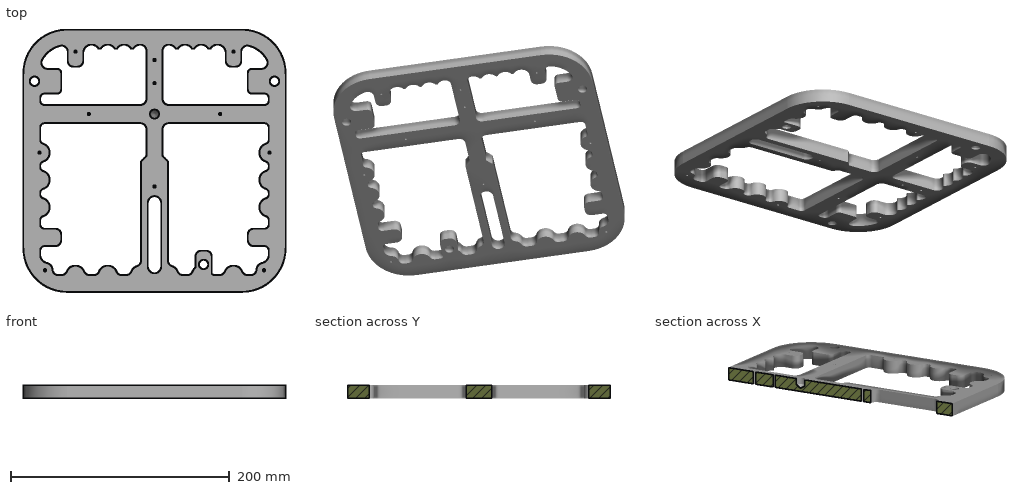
import cadquery as cq
import math

side = 240.0
thickness = 12.0
corner_radius = 40.0
half = side / 2
rim = 15.5
wall = half - rim

spine_half = 7.5
spine_wide_half = 12.5
spine_step_y = 4.3
bar_y = 42.7
bar_half = 8.5
bar_top = bar_y + bar_half
bar_bottom = bar_y - bar_half

corner_round = 5.5
small_round = 3.8

tab_tip_x = 85.2
upper_tab_y = 72.7
upper_tab_width = 22.8
lower_tab_y = -70.0
lower_tab_width = 16.0
top_tab_x = 72.2
top_tab_width = 14.5
top_tab_tip_y = 86.0
foot_tab_x = 45.0
foot_tab_width = 15.0
foot_tab_tip_y = -82.0

bay_reach = 105.8
bay_radius = bay_reach - (half - corner_radius)

scallop_radius = 7.5
scallop_pitch = 15.0
scallop_count = 4
scallop_top_y = 106.0
scallop_tip_radius = 1.7

knuckle_radius = 8.6
side_knuckle_y = 7.5
side_knuckle_pitch = 25.0
side_knuckle_count = 3
foot_knuckle_x = 72.2
foot_knuckle_pitch = 29.5
foot_knuckle_count = 3
foot_root_round = 5.0
boss_xy = 100.0
boss_radius = 7.0
boss_root_round = 7.5

pin_diameter = 2.0
top_pin_y = 99.8
bar_pin_x = 60.0
side_pin_x = 105.0
spine_pin_ys = (92.2, 71.0, -23.5)
bolt_diameter = 8.5
bolt_x = 109.7
foot_bolt_y = -94.8
slot_width = 12.0
slot_top_y = -32.5
slot_bottom_y = -102.7
socket_depth = 6.0
drill_tip_angle = 118.0


def block(x_min, x_max, y_min, y_max):
    """Plate-thick rectangular block."""
    return cq.Workplane("XY").box(
        x_max - x_min, y_max - y_min, thickness, centered=False
    ).translate((x_min, y_min, 0))


def disc(x, y, radius):
    """Plate-thick round block."""
    return cq.Workplane("XY").center(x, y).circle(radius).extrude(thickness)


def round_corners(body, corners, radius):
    """Round the vertical edges that lie closest to the given corners."""
    for x, y in corners:
        edge = cq.selectors.NearestToPointSelector((x, y, thickness / 2))
        body = body.edges("|Z").edges(edge).fillet(radius)
    return body


def scallop_bay(x_left):
    """Space under the scalloped wall, from the top tab to the spine."""
    r = scallop_radius
    half_pitch = scallop_pitch / 2
    centre_y = scallop_top_y - r
    tip_centre = math.sqrt((r + scallop_tip_radius) ** 2 - half_pitch ** 2)
    share = r / (r + scallop_tip_radius)
    join_x = half_pitch * share
    join_y = centre_y + tip_centre * share
    tip_y = centre_y + tip_centre - scallop_tip_radius

    profile = cq.Workplane("XY").moveTo(x_left, top_tab_tip_y).lineTo(x_left, centre_y)
    diagonal = r * math.sqrt(0.5)
    x = x_left + r
    profile = profile.threePointArc((x - diagonal, centre_y + diagonal), (x, scallop_top_y))

    mid_angle = (math.atan2(tip_centre, half_pitch) + math.pi / 2) / 2
    mid_x = r * math.cos(mid_angle)
    mid_y = centre_y + r * math.sin(mid_angle)
    for _ in range(scallop_count - 1):
        middle = x + half_pitch
        next_x = x + scallop_pitch
        profile = profile.threePointArc((x + mid_x, mid_y), (x + join_x, join_y))
        profile = profile.threePointArc((middle, tip_y), (next_x - join_x, join_y))
        profile = profile.threePointArc((next_x - mid_x, mid_y), (next_x, scallop_top_y))
        x = next_x

    reach = -spine_half - x
    end_y = centre_y + math.sqrt(r ** 2 - reach ** 2)
    end_mid_y = centre_y + math.sqrt(r ** 2 - (reach / 2) ** 2)
    profile = profile.threePointArc((x + reach / 2, end_mid_y), (-spine_half, end_y))
    bay = profile.lineTo(-spine_half, top_tab_tip_y).close().extrude(thickness)
    return round_corners(bay, [(-spine_half, end_y)], corner_round)


def upper_window():
    """Upper left window."""
    tab_left = -top_tab_x - top_tab_width / 2
    tab_right = -top_tab_x + top_tab_width / 2
    tab_low = upper_tab_y - upper_tab_width / 2
    tab_high = upper_tab_y + upper_tab_width / 2

    corner_bay = block(-bay_reach, tab_left, upper_tab_y, bay_reach)
    corner_bay = round_corners(corner_bay, [(-bay_reach, bay_reach)], bay_radius)
    corner_bay = corner_bay.cut(block(-half, -tab_tip_x, bar_top, tab_high))
    window = block(-wall, -spine_half, bar_top, top_tab_tip_y)
    window = window.cut(block(-wall, tab_left, tab_high, top_tab_tip_y)).union(corner_bay)
    window = window.union(block(tab_left, -spine_half, bar_top, top_tab_tip_y))
    window = window.union(scallop_bay(tab_right)).clean()
    window = window.cut(block(-half, -tab_tip_x, tab_low, tab_high))

    window = round_corners(window, [
        (-wall, bar_top), (-wall, tab_low), (-tab_tip_x, tab_low), (-tab_tip_x, tab_high),
    ], small_round)
    return round_corners(window, [
        (-spine_half, bar_top), (-bay_reach, tab_high), (tab_left, bay_reach),
        (tab_left, top_tab_tip_y), (tab_right, top_tab_tip_y),
    ], corner_round)


def lower_window(foot_tab):
    """Lower left window, with or without the tab on its bottom border."""
    tab_low = lower_tab_y - lower_tab_width / 2
    tab_high = lower_tab_y + lower_tab_width / 2
    widening = spine_wide_half - spine_half
    window = (
        cq.Workplane("XY")
        .moveTo(-wall, bar_bottom)
        .lineTo(-spine_half, bar_bottom)
        .lineTo(-spine_half, spine_step_y)
        .lineTo(-spine_wide_half, spine_step_y - widening)
        .lineTo(-spine_wide_half, -wall)
        .lineTo(-wall, -wall)
        .close()
        .extrude(thickness)
    )
    window = round_corners(window, [(-wall, bar_bottom)], small_round)
    window = round_corners(window, [(-spine_half, bar_bottom)], corner_round)

    window = window.cut(block(-half, -tab_tip_x, tab_low, tab_high))
    window = round_corners(window, [(-tab_tip_x, tab_low), (-tab_tip_x, tab_high)], corner_round)
    window = round_corners(window, [(-wall, tab_low), (-wall, tab_high)], small_round)

    for i in range(side_knuckle_count):
        y = side_knuckle_y - i * side_knuckle_pitch
        window = window.cut(disc(-wall, y, knuckle_radius))
        roots = [(-wall, y - knuckle_radius), (-wall, y + knuckle_radius)]
        window = round_corners(window, roots, small_round)

    window = window.cut(disc(-boss_xy, -boss_xy, boss_radius))
    boss_reach = math.sqrt(boss_radius ** 2 - (wall - boss_xy) ** 2)
    window = round_corners(window, [(-wall, -boss_xy + boss_reach)], boss_root_round)
    foot_roots = [(-boss_xy + boss_reach, -wall)]
    for i in range(foot_knuckle_count):
        x = -foot_knuckle_x + i * foot_knuckle_pitch
        window = window.cut(disc(x, -wall, knuckle_radius))
        foot_roots += [(x - knuckle_radius, -wall), (x + knuckle_radius, -wall)]
    foot_roots[-1] = (-spine_wide_half, -wall + knuckle_radius)
    window = round_corners(window, foot_roots, foot_root_round)

    if foot_tab:
        left = -foot_tab_x - foot_tab_width / 2
        right = -foot_tab_x + foot_tab_width / 2
        window = window.cut(block(left, right, -half, foot_tab_tip_y))
        tips = [(left, foot_tab_tip_y), (right, foot_tab_tip_y)]
        window = round_corners(window, tips, corner_round)
    return window


plate = (
    cq.Workplane("XY")
    .rect(side, side)
    .extrude(thickness)
    .edges("|Z")
    .fillet(corner_radius)
)

plate = plate.cut(upper_window())
plate = plate.cut(upper_window().mirror("YZ"))
plate = plate.cut(lower_window(foot_tab=False))
plate = plate.cut(lower_window(foot_tab=True).mirror("YZ"))

slot_length = slot_top_y - slot_bottom_y
slot_y = (slot_top_y + slot_bottom_y) / 2
plate = plate.cut(
    cq.Workplane("XY").center(0, slot_y).slot2D(slot_length, slot_width, 90).extrude(thickness)
)

for x, y in [(-bolt_x, upper_tab_y), (bolt_x, upper_tab_y), (foot_tab_x, foot_bolt_y)]:
    plate = plate.cut(disc(x, y, bolt_diameter / 2))

pin_pairs = [
    (top_tab_x, top_pin_y),
    (bar_pin_x, bar_y),
    (side_pin_x, side_knuckle_y),
    (boss_xy, -boss_xy),
]
pins = [(sign * x, y) for x, y in pin_pairs for sign in (-1, 1)]
pins += [(0, y) for y in spine_pin_ys]
for x, y in pins:
    plate = plate.cut(disc(x, y, pin_diameter / 2))

socket_radius = bolt_diameter / 2
socket_floor = thickness - socket_depth
drill_tip_depth = socket_radius / math.tan(math.radians(drill_tip_angle / 2))
socket = (
    cq.Workplane("XZ")
    .moveTo(0, thickness)
    .lineTo(socket_radius, thickness)
    .lineTo(socket_radius, socket_floor)
    .lineTo(0, socket_floor - drill_tip_depth)
    .close()
    .revolve(360, (0, 0, 0), (0, 1, 0))
    .translate((0, bar_y, 0))
)
result = plate.cut(socket)